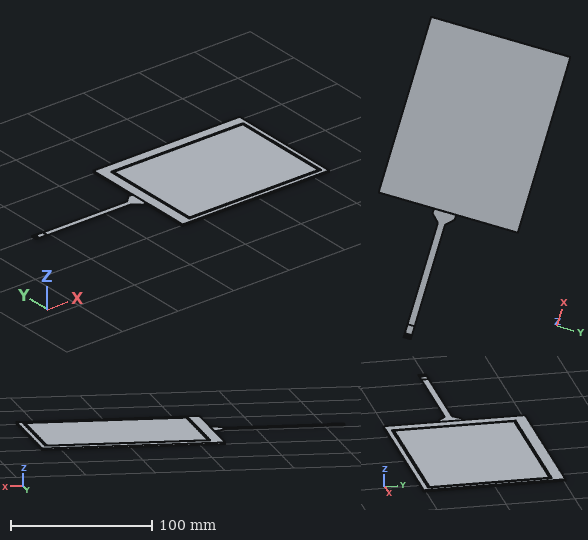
import cadquery as cq

total_length = 227.2
panel_width = 103.0
total_height = 1.5

panel_length = 132.0
panel_thickness = 1.32
panel_left = total_length - panel_length

wide_margin = 9.0
narrow_margin = 4.0
groove_width = 1.4
groove_depth = 0.11

tail_thickness = 0.14
tail_drop = 0.1
tail_width = 5.5
tail_center_y = -2.3
flare_width = 16.5
flare_start = 85.9
flare_run = (flare_width - tail_width) / 2
tail_overlap = 2.3
tail_top = panel_thickness - tail_drop
tail_bottom = tail_top - tail_thickness

stiffener_length = 9.8
stiffener_thickness = total_height - tail_top

contact_count = 4
contact_length = 3.2
contact_width = 0.7
contact_pitch = 1.4
contact_thickness = 0.05


def block(x, y, z, length, width, height):
    """Box with its lowest corner at (x, y, z)."""
    return cq.Workplane("XY").box(length, width, height, centered=False).translate((x, y, z))


def make_panel():
    panel = block(panel_left, -panel_width / 2, 0, panel_length, panel_width, panel_thickness)
    frame_x = panel_left + wide_margin
    frame_y = -panel_width / 2 + narrow_margin
    frame_length = panel_length - wide_margin - narrow_margin
    frame_width = panel_width - wide_margin - narrow_margin
    floor = panel_thickness - groove_depth
    groove = block(frame_x, frame_y, floor, frame_length, frame_width, groove_depth)
    island = block(
        frame_x + groove_width,
        frame_y + groove_width,
        floor,
        frame_length - 2 * groove_width,
        frame_width - 2 * groove_width,
        groove_depth,
    )
    return panel.cut(groove.cut(island))


def make_tail():
    half_tail = tail_width / 2
    half_flare = flare_width / 2
    flare_end = flare_start + flare_run
    root = panel_left + tail_overlap
    outline = [
        (0, -half_tail),
        (flare_start, -half_tail),
        (flare_end, -half_flare),
        (root, -half_flare),
        (root, half_flare),
        (flare_end, half_flare),
        (flare_start, half_tail),
        (0, half_tail),
    ]
    tail = cq.Workplane("XY").polyline(outline).close().extrude(tail_thickness)
    return tail.translate((0, tail_center_y, tail_bottom))


def make_stiffener():
    return block(
        0, tail_center_y - tail_width / 2, tail_top, stiffener_length, tail_width, stiffener_thickness
    )


def make_contact(index):
    center_y = tail_center_y + (index - (contact_count - 1) / 2) * contact_pitch
    return block(
        0,
        center_y - contact_width / 2,
        tail_bottom - contact_thickness,
        contact_length,
        contact_width,
        contact_thickness,
    )


result = make_panel().union(make_tail()).union(make_stiffener())
for contact_index in range(contact_count):
    result = result.union(make_contact(contact_index))